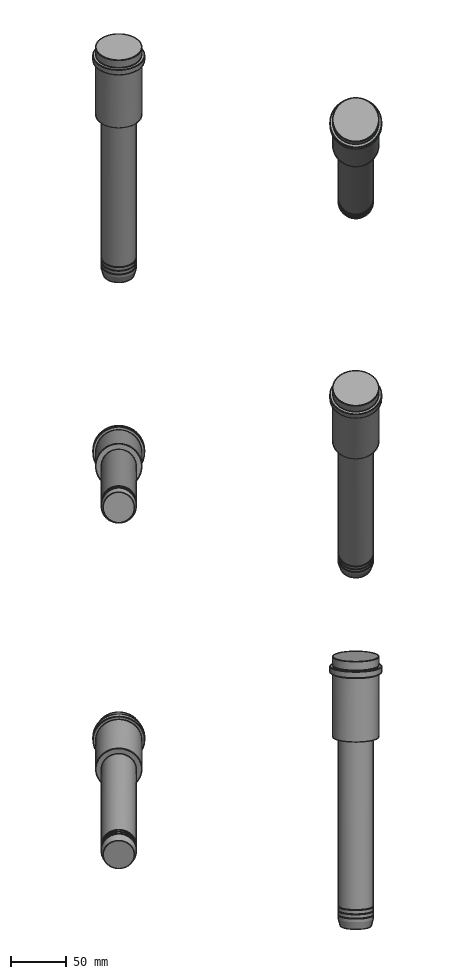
import cadquery as cq

TOTAL_LENGTH = 250.0
EDGE_CHAMFER = 0.5

SHOULDER_DIAMETER = 42.0
SHOULDER_LENGTH = 75.0
COLLAR_DIAMETER = 47.0
COLLAR_THICKNESS = 6.0
HEAD_LENGTH = 9.0

UNDERCUT_WIDTH = 1.0
UNDERCUT_DEPTH = 0.25

SHANK_DIAMETER = 32.0
LEAD_IN_LENGTH = 7.0
TIP_DIAMETER = 27.8
TIP_CHAMFER = 0.3

GROOVE_COUNT = 3
GROOVE_PITCH = 4.0
GROOVE_WIDTH = 1.0
GROOVE_DEPTH = GROOVE_WIDTH / 2
LOWEST_GROOVE_BOTTOM = 10.0

SHANK_RADIUS = SHANK_DIAMETER / 2
SHOULDER_RADIUS = SHOULDER_DIAMETER / 2
COLLAR_RADIUS = COLLAR_DIAMETER / 2
TIP_RADIUS = TIP_DIAMETER / 2
SHOULDER_BOTTOM = TOTAL_LENGTH - SHOULDER_LENGTH
COLLAR_TOP = TOTAL_LENGTH - HEAD_LENGTH
COLLAR_BOTTOM = COLLAR_TOP - COLLAR_THICKNESS


def revolve_profile(points):
    """Turn a closed (radius, height) outline about Z."""
    return cq.Workplane("XZ").polyline(points).close().revolve(360, (0, 0, 0), (0, 1, 0))


def make_stepped_body():
    """Lead-in, shank, shoulder and collar with their edges chamfered."""
    return revolve_profile(
        [
            (0, 0),
            (TIP_RADIUS, 0),
            (TIP_RADIUS + TIP_CHAMFER, TIP_CHAMFER),
            (SHANK_RADIUS, LEAD_IN_LENGTH),
            (SHANK_RADIUS, SHOULDER_BOTTOM),
            (SHOULDER_RADIUS - EDGE_CHAMFER, SHOULDER_BOTTOM),
            (SHOULDER_RADIUS, SHOULDER_BOTTOM + EDGE_CHAMFER),
            (SHOULDER_RADIUS, COLLAR_BOTTOM),
            (COLLAR_RADIUS - EDGE_CHAMFER, COLLAR_BOTTOM),
            (COLLAR_RADIUS, COLLAR_BOTTOM + EDGE_CHAMFER),
            (COLLAR_RADIUS, COLLAR_TOP - EDGE_CHAMFER),
            (COLLAR_RADIUS - EDGE_CHAMFER, COLLAR_TOP),
            (SHOULDER_RADIUS, COLLAR_TOP),
            (SHOULDER_RADIUS, TOTAL_LENGTH - EDGE_CHAMFER),
            (SHOULDER_RADIUS - EDGE_CHAMFER, TOTAL_LENGTH),
            (0, TOTAL_LENGTH),
        ]
    )


def make_undercut(radius, face_height, direction):
    """Ring to remove beside a flat face; direction is +1 above it and -1 below it.

    The end away from the face runs out at 45 degrees.
    """
    floor_radius = radius - UNDERCUT_DEPTH
    return revolve_profile(
        [
            (radius, face_height),
            (floor_radius, face_height),
            (floor_radius, face_height + direction * (UNDERCUT_WIDTH - UNDERCUT_DEPTH)),
            (radius, face_height + direction * UNDERCUT_WIDTH),
        ]
    )


def make_groove(bottom):
    """V-section ring to remove for one oil groove."""
    return revolve_profile(
        [
            (SHANK_RADIUS, bottom),
            (SHANK_RADIUS - GROOVE_DEPTH, bottom + GROOVE_WIDTH / 2),
            (SHANK_RADIUS, bottom + GROOVE_WIDTH),
        ]
    )


result = make_stepped_body()

result = result.cut(make_undercut(SHANK_RADIUS, SHOULDER_BOTTOM, -1))
result = result.cut(make_undercut(SHOULDER_RADIUS, COLLAR_BOTTOM, -1))
result = result.cut(make_undercut(SHOULDER_RADIUS, COLLAR_TOP, 1))

for index in range(GROOVE_COUNT):
    result = result.cut(make_groove(LOWEST_GROOVE_BOTTOM + index * GROOVE_PITCH))